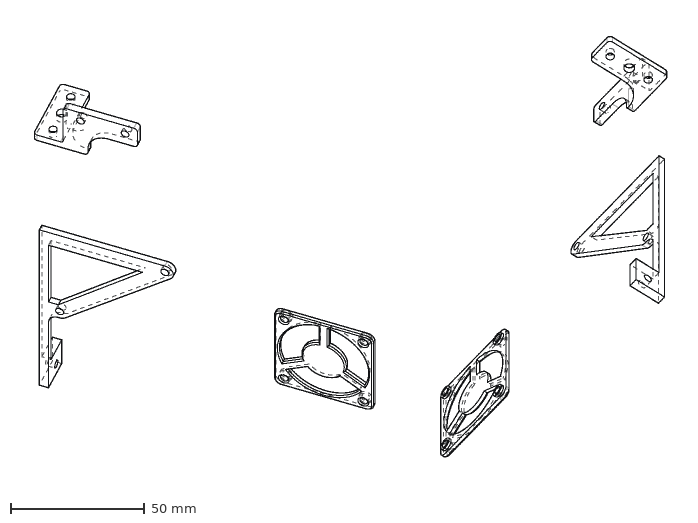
import cadquery as cq
import math

ARM_THICKNESS = 2.6
ARM_HEIGHT = 85.0
UPRIGHT_WIDTH = 3.75
ARM_HOLE = 3.2
EYE_RADIUS = 3.5
TOP_EYE_X = 50.6
TOP_EYE_Z = ARM_HEIGHT - EYE_RADIUS
LOW_EYE_X = 8.2
LOW_EYE_Z = 43.5
TOP_BEAM = 2 * EYE_RADIUS
WINDOW_LOW_X = 7.7
WINDOW_TOP_X = 41.6
ELBOW_RADIUS = 4.0
TAB_DEPTH = 13.5
TAB_HEIGHT = 13.0
TAB_HOLE_Y = 7.9
TAB_HOLE_Z = 5.25

BRACKET_X = -2.4
BRACKET_TOP = 155.5
BRACKET_HEIGHT = 22.0
BRACKET_Z = BRACKET_TOP - BRACKET_HEIGHT
PLATE = 3.0
FOOT_WIDTH = 12.0
FOOT_DEPTH = 28.0
FOOT_END_HOLE = 3.1
FOOT_CENTER_HOLE = 4.0
FOOT_HOLE_PITCH = 9.0
BRACKET_CORNER = 1.5
WALL_NECK = 10.0
WALL_LENGTH = 30.0
WALL_ARM_HEIGHT = 10.0
WEB_RADIUS = 8.5
GUSSET_PLAN_RADIUS = 8.5
GUSSET_SIDE_RADIUS = 8.0
CREASE_RADIUS = 1.0
WALL_HOLE = 3.1
WALL_HOLE_DROP = 4.5
WALL_HOLE_EDGE = 7.0
WALL_HOLE_PITCH = 18.0

FAN_SIZE = 40.0
FAN_CENTER_X = 114.6
FAN_CENTER_Z = 58.0
FAN_THICKNESS = 2.0
FAN_CORNER = 3.0
FAN_CHAMFER = 0.6
FAN_HOLE = 3.1
FAN_HOLE_PITCH = 32.0
FAN_OPENING_RADIUS = 18.0
HUB_RADIUS = 9.0
SPOKE_WIDTH = 4.0
SPOKE_ANGLES = (90, 210, 330)
BOSS_DIAMETER = 5.0
BOSS_HEIGHT = 1.0


def front_plane(x=0.0, z=0.0):
    """Sketch plane at y = 0; sketches on it extrude toward +Y with a negative distance."""
    return cq.Workplane("XZ", origin=(x, 0, z))


def make_arm():
    brace_angle = math.atan2(TOP_EYE_Z - LOW_EYE_Z, TOP_EYE_X - LOW_EYE_X)
    run = math.cos(brace_angle)
    rise = math.sin(brace_angle)
    out_x = EYE_RADIUS * rise
    out_z = -EYE_RADIUS * run
    half = brace_angle / 2
    low_mid = (LOW_EYE_X + EYE_RADIUS * math.sin(half), LOW_EYE_Z - EYE_RADIUS * math.cos(half))
    elbow_x = UPRIGHT_WIDTH + ELBOW_RADIUS
    elbow_top = LOW_EYE_Z - EYE_RADIUS
    frame = (
        front_plane()
        .lineTo(UPRIGHT_WIDTH, 0)
        .lineTo(UPRIGHT_WIDTH, elbow_top - ELBOW_RADIUS)
        .radiusArc((elbow_x, elbow_top), ELBOW_RADIUS)
        .lineTo(LOW_EYE_X, elbow_top)
        .threePointArc(low_mid, (LOW_EYE_X + out_x, LOW_EYE_Z + out_z))
        .lineTo(TOP_EYE_X + out_x, TOP_EYE_Z + out_z)
        .threePointArc((TOP_EYE_X + EYE_RADIUS, TOP_EYE_Z), (TOP_EYE_X, ARM_HEIGHT))
        .lineTo(0, ARM_HEIGHT)
        .close()
        .extrude(-ARM_THICKNESS)
    )

    window_low = LOW_EYE_Z + EYE_RADIUS
    window_top = ARM_HEIGHT - TOP_BEAM
    window = (
        front_plane()
        .moveTo(UPRIGHT_WIDTH, window_low)
        .lineTo(WINDOW_LOW_X, window_low)
        .lineTo(WINDOW_TOP_X, window_top)
        .lineTo(UPRIGHT_WIDTH, window_top)
        .close()
        .extrude(-ARM_THICKNESS)
    )
    eyes = (
        front_plane()
        .pushPoints([(LOW_EYE_X, LOW_EYE_Z), (TOP_EYE_X, TOP_EYE_Z)])
        .circle(ARM_HOLE / 2)
        .extrude(-ARM_THICKNESS)
    )
    tab = cq.Workplane("XY").box(UPRIGHT_WIDTH, TAB_DEPTH, TAB_HEIGHT, centered=False)
    tab_hole = (
        cq.Workplane("YZ")
        .center(TAB_HOLE_Y, TAB_HOLE_Z)
        .circle(ARM_HOLE / 2)
        .extrude(UPRIGHT_WIDTH)
    )
    return frame.cut(window).cut(eyes).union(tab).cut(tab_hole)


def concave_corner(plane, origin, radius, distance):
    """Prism filling a square corner up to a concave quarter arc."""
    return (
        cq.Workplane(plane, origin=origin)
        .lineTo(radius, 0)
        .radiusArc((0, radius), radius)
        .close()
        .extrude(distance)
    )


def make_bracket():
    wall_x = FOOT_WIDTH
    neck_x = wall_x + WALL_NECK
    end_x = wall_x + WALL_LENGTH
    arm_low = BRACKET_HEIGHT - WALL_ARM_HEIGHT
    wall = (
        front_plane()
        .moveTo(wall_x, 0)
        .lineTo(neck_x, 0)
        .lineTo(neck_x, arm_low)
        .lineTo(end_x, arm_low)
        .lineTo(end_x, BRACKET_HEIGHT)
        .lineTo(wall_x, BRACKET_HEIGHT)
        .close()
        .extrude(-PLATE)
    )
    wall_corners = [
        (neck_x, arm_low, WEB_RADIUS),
        (neck_x, 0, BRACKET_CORNER),
        (end_x, arm_low, BRACKET_CORNER),
        (end_x, BRACKET_HEIGHT, BRACKET_CORNER),
        (wall_x, BRACKET_HEIGHT, BRACKET_CORNER),
    ]
    for x, z, radius in wall_corners:
        corner = cq.selectors.NearestToPointSelector((x, PLATE / 2, z))
        wall = wall.edges(corner).fillet(radius)

    foot = cq.Workplane("XY").box(FOOT_WIDTH, FOOT_DEPTH, PLATE, centered=False)
    foot = foot.edges("|Z and (<X or >Y)").fillet(BRACKET_CORNER)

    gusset_height = PLATE + GUSSET_SIDE_RADIUS
    plan = concave_corner("XY", (wall_x, PLATE, 0), GUSSET_PLAN_RADIUS, gusset_height)
    side = concave_corner("YZ", (wall_x, PLATE, PLATE), GUSSET_SIDE_RADIUS, GUSSET_PLAN_RADIUS)
    base = cq.Workplane("XY", origin=(wall_x, PLATE, 0)).box(
        GUSSET_PLAN_RADIUS, GUSSET_PLAN_RADIUS, PLATE, centered=False
    )
    gusset = plan.intersect(side.union(base))

    crease = (
        front_plane(wall_x, PLATE)
        .lineTo(-CREASE_RADIUS, 0)
        .radiusArc((0, CREASE_RADIUS), -CREASE_RADIUS)
        .close()
        .extrude(-gusset_height)
    )
    crease_x = wall_x - CREASE_RADIUS
    behind_wall = concave_corner("YZ", (crease_x, PLATE, PLATE), GUSSET_SIDE_RADIUS, CREASE_RADIUS)
    beside_wall = cq.Workplane("XY", origin=(crease_x, 0, PLATE)).box(
        CREASE_RADIUS, PLATE, CREASE_RADIUS, centered=False
    )
    crease = crease.intersect(behind_wall.union(beside_wall))

    for step, diameter in [(-1, FOOT_END_HOLE), (0, FOOT_CENTER_HOLE), (1, FOOT_END_HOLE)]:
        hole = (
            cq.Workplane("XY")
            .center(FOOT_WIDTH / 2, FOOT_DEPTH / 2 + step * FOOT_HOLE_PITCH)
            .circle(diameter / 2)
            .extrude(PLATE)
        )
        foot = foot.cut(hole)
    hole_x = wall_x + WALL_HOLE_EDGE
    hole_z = BRACKET_HEIGHT - WALL_HOLE_DROP
    wall_holes = (
        front_plane()
        .pushPoints([(hole_x, hole_z), (hole_x + WALL_HOLE_PITCH, hole_z)])
        .circle(WALL_HOLE / 2)
        .extrude(-PLATE)
    )
    bracket = foot.union(wall.cut(wall_holes)).union(gusset).union(crease)
    return bracket.translate((BRACKET_X, 0, BRACKET_Z))


def make_fan_guard():
    def disc(radius):
        return front_plane().circle(radius).extrude(-FAN_THICKNESS)

    frame = front_plane().rect(FAN_SIZE, FAN_SIZE).extrude(-FAN_THICKNESS)
    frame = frame.edges("|Y").fillet(FAN_CORNER)
    guard = frame.cut(disc(FAN_OPENING_RADIUS)).union(disc(HUB_RADIUS))
    spoke_reach = FAN_OPENING_RADIUS + FAN_CHAMFER
    for angle in SPOKE_ANGLES:
        spoke = (
            front_plane()
            .transformed(rotate=(0, 0, angle))
            .center(spoke_reach / 2, 0)
            .rect(spoke_reach, SPOKE_WIDTH)
            .extrude(-FAN_THICKNESS)
        )
        guard = guard.union(spoke)
    holes = front_plane().rect(FAN_HOLE_PITCH, FAN_HOLE_PITCH, forConstruction=True).vertices()
    guard = guard.cut(holes.circle(FAN_HOLE / 2).extrude(-FAN_THICKNESS))
    guard = guard.faces("<Y").edges().chamfer(FAN_CHAMFER)
    bosses = (
        cq.Workplane("XZ", origin=(0, FAN_THICKNESS, 0))
        .rect(FAN_HOLE_PITCH, FAN_HOLE_PITCH, forConstruction=True)
        .vertices()
        .circle(BOSS_DIAMETER / 2)
        .circle(FAN_HOLE / 2)
        .extrude(-BOSS_HEIGHT)
    )
    return guard.union(bosses).translate((FAN_CENTER_X, 0, FAN_CENTER_Z))


arm = make_arm()
bracket = make_bracket()
fan_guard = make_fan_guard()
result = cq.Compound.makeCompound([arm.val(), bracket.val(), fan_guard.val()])